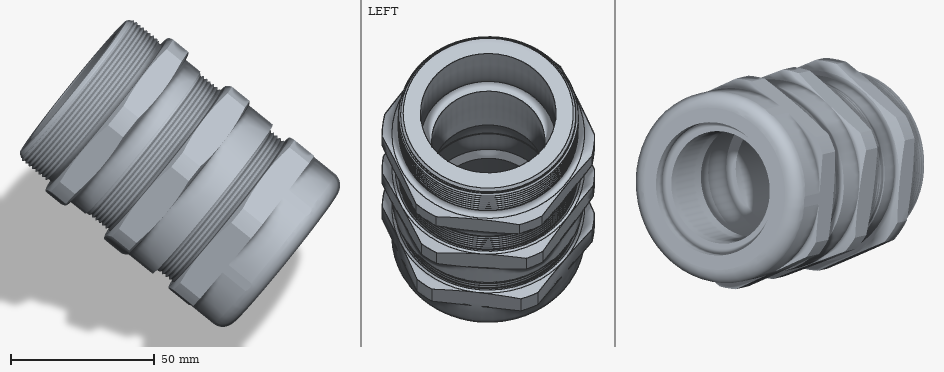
import cadquery as cq
import math

tilt_angle = 28.3

thread_crest_r = 62.9 / 2
thread_root_r = 61.3 / 2
thread_pitch = 12.0 / 8
crest_land = 0.05
groove_overshoot = 0.02
thread_phase = 0.8

hex_corner_r = 74.2 / 2
hex_face_r = 67.3 / 2
hex_chamfer_length = 1.2
entry_across_flats = 68.2
across_flats = 67.3
entry_hex_angle = 6.2
middle_hex_angle = 4.0
cap_hex_angle = 7.1

wide_bore_r = 47.3 / 2
narrow_bore_r = 39.6 / 2
sleeve_bore_r = 46.7 / 2
lip_bore_r = 46.9 / 2
insert_r = 53.7 / 2
mouth_r = 65.0 / 2
mouth_depth = 1.0

entry_face_r = 59.4 / 2
entry_chamfer_length = 1.0
entry_neck_end = 1.3
entry_thread_start = 2.0
entry_relief_start = 13.3
entry_relief_r = 61.2 / 2
entry_hex_start = 15.0
entry_hex_end = 24.2
entry_flange_r = 63.9 / 2
entry_flange_end = 31.2
entry_shoulder_length = 1.0
entry_wide_depth = 20.5
entry_end = 45.4

middle_start = 41.4
middle_hex_end = 51.7
middle_collar_r = 66.9 / 2
middle_collar_end = 62.6
middle_shoulder_length = 1.1
sleeve_seat = 58.5
middle_end = 73.4

cap_start = 70.0
cap_hex_end = 80.0
cap_end = 95.3
cap_drum_r = 67.4 / 2
cap_round_r = 5.2
cap_lip_thickness = 4.5
seal_start = cap_start
seal_end = cap_end - cap_lip_thickness


def cylinder(radius, start, end):
    return cq.Workplane("XY").workplane(offset=start).circle(radius).extrude(end - start)


def turned(outline):
    """Solid of revolution from (radius, height) points."""
    return cq.Workplane("XZ").polyline(outline).close().revolve(360, (0, 0, 0), (0, 1, 0))


def ring(outer, inner, start, end):
    return cylinder(outer, start, end).cut(cylinder(inner, start, end))


def hexagonal_prism(flats, corner_angle, start, end):
    return (
        cq.Workplane("XY").workplane(offset=start)
        .polygon(6, flats / math.cos(math.radians(30)))
        .extrude(end - start)
        .rotate((0, 0, 0), (0, 0, 1), corner_angle)
    )


def hexagon(flats, corner_angle, start, end):
    """Hexagon with turned corners and a conical chamfer at both ends."""
    return hexagonal_prism(flats, corner_angle, start, end).intersect(turned([
        (0, start), (hex_face_r, start), (hex_corner_r, start + hex_chamfer_length),
        (hex_corner_r, end - hex_chamfer_length), (hex_face_r, end), (0, end),
    ]))


def thread_groove(start, end):
    """Helical V groove cutter; its root begins at the first whole turn after the start height."""
    first_turn = math.ceil((start - thread_phase) / thread_pitch)
    base = thread_phase + first_turn * thread_pitch
    half_width = (thread_pitch - crest_land) / 2
    helix = cq.Wire.makeHelix(thread_pitch, end - base, thread_root_r)
    section = cq.Workplane("XZ").polyline([
        (thread_root_r, 0),
        (thread_crest_r + groove_overshoot, half_width),
        (thread_crest_r + groove_overshoot, -half_width),
    ]).close()
    return section.sweep(cq.Workplane(obj=helix), isFrenet=True).translate((0, 0, base))


def female_mouth(start, depth_end):
    """Plain bore over a male thread, countersunk at its opening."""
    return turned([
        (0, start), (mouth_r, start), (thread_crest_r, start + mouth_depth),
        (thread_crest_r, depth_end), (0, depth_end),
    ])


def make_entry_body():
    shoulder_end = entry_flange_end + entry_shoulder_length
    body = turned([
        (0, 0), (entry_face_r, 0), (entry_relief_r, entry_chamfer_length),
        (entry_relief_r, entry_neck_end), (thread_crest_r, entry_thread_start),
        (thread_crest_r, entry_relief_start), (entry_relief_r, entry_relief_start),
        (entry_relief_r, entry_hex_start), (entry_flange_r, entry_hex_start),
        (entry_flange_r, entry_flange_end), (thread_crest_r, entry_flange_end),
        (thread_crest_r, entry_end), (0, entry_end),
    ])
    body = body.cut(thread_groove(entry_neck_end - thread_pitch / 2, entry_relief_start + thread_pitch / 2))
    body = body.cut(thread_groove(shoulder_end, entry_end - thread_pitch))
    body = body.union(hexagon(entry_across_flats, entry_hex_angle, entry_hex_start, entry_hex_end))
    body = body.cut(cylinder(wide_bore_r, 0, entry_wide_depth))
    return body.cut(cylinder(narrow_bore_r, entry_wide_depth, entry_end))


def make_middle_body():
    shoulder_end = middle_collar_end + middle_shoulder_length
    body = hexagon(across_flats, middle_hex_angle, middle_start, middle_hex_end)
    body = body.union(cylinder(middle_collar_r, middle_hex_end, middle_collar_end))
    body = body.union(cylinder(thread_crest_r, middle_collar_end, middle_end))
    body = body.cut(female_mouth(middle_start, entry_end))
    body = body.cut(cylinder(wide_bore_r, entry_end, sleeve_seat))
    body = body.cut(cylinder(insert_r, sleeve_seat, middle_end))
    return body.cut(thread_groove(shoulder_end, middle_end - thread_pitch))


def make_sleeve():
    return ring(insert_r, sleeve_bore_r, sleeve_seat, seal_start)


def make_seal():
    return ring(insert_r, narrow_bore_r, seal_start, seal_end)


def make_cap():
    hex_blank = turned([
        (0, cap_start), (hex_face_r, cap_start), (hex_corner_r, cap_start + hex_chamfer_length),
        (hex_corner_r, cap_hex_end), (0, cap_hex_end),
    ])
    drum = cylinder(cap_drum_r, cap_hex_end, cap_end).faces(">Z").edges().fillet(cap_round_r)
    flats = hexagonal_prism(across_flats, cap_hex_angle, cap_start, cap_end)
    body = hex_blank.union(drum).intersect(flats)
    body = body.cut(female_mouth(cap_start, middle_end))
    body = body.cut(cylinder(insert_r, middle_end, seal_end))
    return body.cut(cylinder(lip_bore_r, seal_end, cap_end))


axis_direction = (math.cos(math.radians(tilt_angle)), 0, -math.sin(math.radians(tilt_angle)))
tilt = cq.Location(cq.Plane(origin=(0, 0, 0), xDir=(0, 1, 0), normal=axis_direction))

entry_body = make_entry_body()
middle_body = make_middle_body()
sleeve = make_sleeve()
seal = make_seal()
cap = make_cap()

result = cq.Compound.makeCompound([
    body.val().moved(tilt) for body in (entry_body, middle_body, sleeve, seal, cap)
])